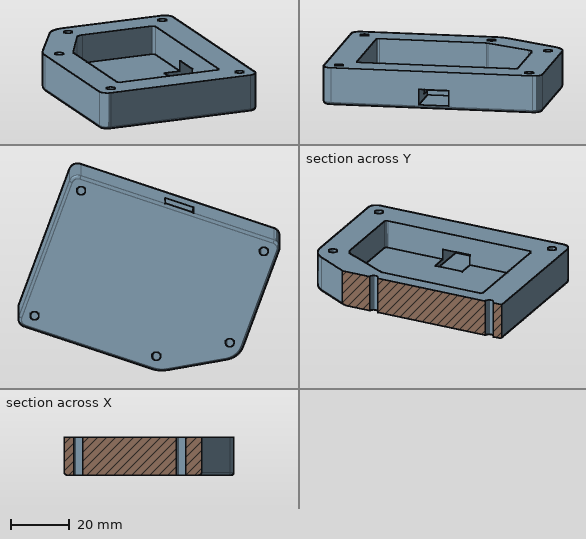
import cadquery as cq
import math

length = 75.95
width = 57.95
height = 13.0
corner_radius = 3.0
bevel_angle = math.radians(30)
bevel_x = 23.9
bevel_y = bevel_x * math.tan(bevel_angle)
bevel_left_radius = 7.6
bevel_front_radius = 10.0
bottom_fillet = 1.0

wall = 10.0
floor = 2.95
pocket_bevel_x = 27.6
pocket_bevel_y = 19.3
pocket_corner_radius = 1.0
pocket_bevel_radius = 3.0

hole_diameter = 2.95
hole_side_inset = 4.9
hole_front_inset = 5.2
hole_back_inset = 4.85
left_hole_y = 18.1
front_hole_x = 26.95

slot_left = 32.0
slot_width = 10.3
slot_reach = 5.85
slot_floor_drop = 1.7
slot_rise = 3.7


def bevelled_block(left, front, right, back, bevel_x, bevel_y, bottom, top):
    """Rectangular block whose front-left corner is cut by a straight bevel."""
    outline = [(bevel_x, front), (right, front), (right, back), (left, back), (left, bevel_y)]
    return cq.Workplane("XY").workplane(offset=bottom).polyline(outline).close().extrude(top - bottom)


def round_upright_edge(block, x, y, radius):
    """Fillet the vertical edge nearest to the given plan position."""
    return block.edges("|Z").edges(cq.NearestToPointSelector((x, y, height / 2))).fillet(radius)


def make_body():
    body = bevelled_block(0, 0, length, width, bevel_x, bevel_y, 0, height)
    for x, y in [(length, 0), (length, width), (0, width)]:
        body = round_upright_edge(body, x, y, corner_radius)
    body = round_upright_edge(body, 0, bevel_y, bevel_left_radius)
    body = round_upright_edge(body, bevel_x, 0, bevel_front_radius)
    return body.faces("<Z").edges().fillet(bottom_fillet)


def make_pocket():
    right = length - wall
    back = width - wall
    pocket = bevelled_block(wall, wall, right, back, pocket_bevel_x, pocket_bevel_y, floor, height)
    for x, y in [(right, wall), (right, back), (wall, back), (pocket_bevel_x, wall)]:
        pocket = round_upright_edge(pocket, x, y, pocket_corner_radius)
    return round_upright_edge(pocket, wall, pocket_bevel_y, pocket_bevel_radius)


def make_holes():
    right = length - hole_side_inset
    back = width - hole_back_inset
    centres = [
        (hole_side_inset, back),
        (right, back),
        (right, hole_front_inset),
        (front_hole_x, hole_front_inset),
        (hole_side_inset, left_hole_y),
    ]
    return cq.Workplane("XY").pushPoints(centres).circle(hole_diameter / 2).extrude(height)


def make_slot():
    slot = cq.Workplane("XY").box(
        slot_width, wall + slot_reach, slot_floor_drop + slot_rise, centered=False
    )
    return slot.translate((slot_left, width - wall - slot_reach, floor - slot_floor_drop))


result = make_body().cut(make_pocket()).cut(make_holes()).cut(make_slot())